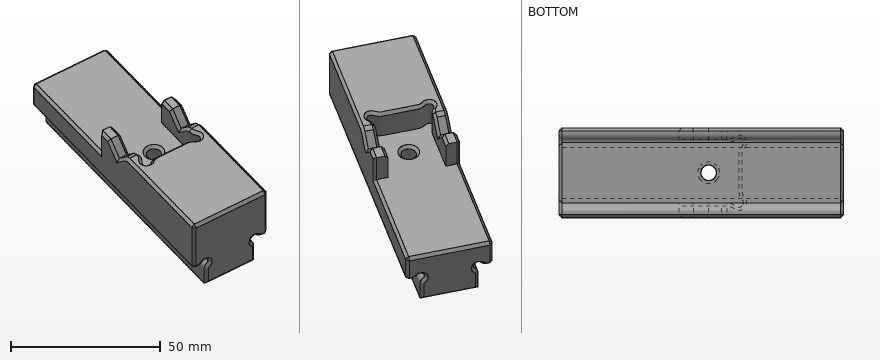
import cadquery as cq
import math

length = 95.0
width = 30.0
height = 30.0
edge_chamfer = 1.0

rail_width = 20.0
rail_height = 10.0

shelf_height = 20.0
step_x = 40.0

notch_x = 50.0
notch_depth = 5.0

pocket_width = 20.0
pocket_end_x = 60.0

relief_radius = 1.5
rail_blend_radius = 2.5
pocket_blend_radius = 5.0

hole_diameter = 5.1
countersink_diameter = hole_diameter + 2 * edge_chamfer


def relief_corner(plane, corner, directions, blend_radius, depth):
    """Cutter for an inside corner: a round relief on the corner, blended into both walls.

    The open side of the corner points along the two signs in directions.
    """
    reach = math.sqrt(relief_radius**2 + 2 * relief_radius * blend_radius)
    center_distance = relief_radius + blend_radius
    share = relief_radius / center_distance

    half_turn = math.atan2(reach, blend_radius) / 2
    mid_reach = reach - blend_radius * math.sin(half_turn)
    mid_rise = blend_radius * (1 - math.cos(half_turn))
    relief_mid = -relief_radius * math.sqrt(0.5)

    def place(u, v):
        return (corner[0] + directions[0] * u, corner[1] + directions[1] * v)

    outline = (
        cq.Workplane(plane)
        .moveTo(*place(reach, reach))
        .lineTo(*place(reach, 0))
        .threePointArc(place(mid_reach, -mid_rise), place(reach * share, -blend_radius * share))
        .threePointArc(place(relief_mid, relief_mid), place(-blend_radius * share, reach * share))
        .threePointArc(place(-mid_rise, mid_reach), place(0, reach))
        .close()
    )
    return outline.extrude(depth)


def make_body():
    """T-shaped bar with relieved rail corners."""
    block = cq.Workplane("XY").box(length, width, height - rail_height, centered=(False, True, False))
    rail = cq.Workplane("XY").box(length, rail_width, rail_height, centered=(False, True, False))
    body = block.translate((0, 0, rail_height)).union(rail)
    for side in (-1, 1):
        corner = (side * rail_width / 2, rail_height)
        body = body.cut(relief_corner("YZ", corner, (side, -1), rail_blend_radius, length))
    return body


def make_shelf_space():
    """Space above the low front shelf."""
    space = cq.Workplane("XY").box(step_x, width, height - shelf_height, centered=(False, True, False))
    return space.translate((0, 0, shelf_height))


def notch_outline():
    """V notch outline on the XZ plane, with its far lip bevelled."""
    lip_run = edge_chamfer * math.sqrt(0.5)
    return (
        cq.Workplane("XZ")
        .moveTo(notch_x - notch_depth, height)
        .lineTo(notch_x, height - notch_depth)
        .lineTo(notch_x + notch_depth - lip_run, height - lip_run)
        .lineTo(notch_x + notch_depth + edge_chamfer, height)
        .close()
    )


def make_notch_flare():
    """Notch that widens at 45 degrees toward the pocket, bevelling the inner edge of one prong."""
    narrow_end = notch_outline().val()
    wide_end = narrow_end.offset2D(edge_chamfer, "intersection")[0].translate(cq.Vector(0, -edge_chamfer, 0))
    flare = cq.Workplane(cq.Solid.makeLoft([narrow_end, wide_end], True))
    return flare.translate((0, pocket_width / 2 + edge_chamfer, 0))


def make_pocket():
    """Open-fronted pocket with relieved far corners."""
    pocket_depth = height - shelf_height
    pocket_length = pocket_end_x - step_x
    pocket = cq.Workplane("XY").box(pocket_length, pocket_width, pocket_depth, centered=(False, True, False))
    pocket = pocket.translate((step_x, 0, 0))
    for side in (-1, 1):
        corner = (pocket_end_x, side * pocket_width / 2)
        pocket = pocket.union(relief_corner("XY", corner, (-1, -side), pocket_blend_radius, pocket_depth))
    return pocket.translate((0, 0, shelf_height))


result = make_body().cut(make_shelf_space())

result = result.cut(make_pocket())
rim_reach_y = pocket_width / 2 + relief_radius
rim_zone = cq.selectors.BoxSelector(
    (step_x, -rim_reach_y, height - edge_chamfer),
    (pocket_end_x + 2 * relief_radius, rim_reach_y, height + edge_chamfer),
)
result = result.edges(rim_zone).chamfer(edge_chamfer)

result = result.cut(notch_outline().extrude(width / 2, both=True))

result = result.faces("<X or >X or <Y or >Y").edges().chamfer(edge_chamfer)

notch_flare = make_notch_flare()
result = result.cut(notch_flare).cut(notch_flare.mirror("XZ"))

hole = cq.Workplane("XY").circle(hole_diameter / 2).extrude(shelf_height)
countersink = cq.Workplane(cq.Solid.makeCone(hole_diameter / 2, countersink_diameter / 2, edge_chamfer))
countersink = countersink.translate((0, 0, shelf_height - edge_chamfer))
result = result.cut(hole.union(countersink).translate((notch_x, 0, 0)))